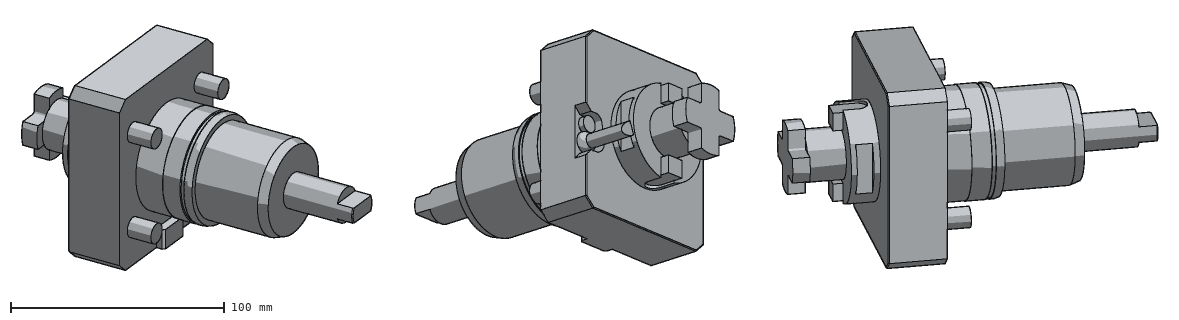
import cadquery as cq
import math


PLATE_THICKNESS = 28.3
PLATE_WIDTH = 84.0
PLATE_HEIGHT = 90.0
PLATE_CORNER_Y = 5.3
PLATE_CORNER_Z = 4.8
PLATE_EDGE_CHAMFER = 0.5
PLATE_FRONT = -PLATE_THICKNESS

BOLT_DIAMETER = 10.2
BOLT_LENGTH = 13.0
BOLT_SPACING_Y = 60.0
BOLT_SPACING_Z = 50.0
LOCATING_KEY_LENGTH = 4.4
LOCATING_KEY_WIDTH = 18.0
LOCATING_KEY_HEIGHT = 10.2
LOCATING_KEY_CHAMFER = 1.2

PILOT_RADIUS = 27.4
PILOT_STEP_X = 14.8
SEAL_RADIUS = 27.6
PILOT_END = 24.7
PILOT_CHAMFER = 0.3
GROOVE_RADIUS = 27.0
GROOVE_END = 26.5
LAND_END = 28.5
LAND_TAPER_END = 30.7
HOUSING_RADIUS = 24.25
HOUSING_END = 65.0
HOUSING_TAPER_END = 69.9
HOUSING_TAPER_RADIUS = 22.6

SHAFT_RADIUS = 8.95
SHAFT_END = 108.0
SHAFT_CHAMFER = 0.5
TANG_LENGTH = 9.0
TANG_THICKNESS = 8.0

COLLAR_FRONT = -42.3
COLLAR_RADIUS = HOUSING_RADIUS
SIDE_GROOVE_FRONT = -39.5
SIDE_GROOVE_REAR = -31.5
SIDE_GROOVE_HALF_WIDTH = 20.7

DRIVE_KEY_FRONT = -47.1
DRIVE_KEY_REAR = -29.7
DRIVE_KEY_WIDTH = 9.5
DRIVE_KEY_INNER = 13.6
DRIVE_KEY_OUTER = 22.6

NECK_RADIUS = 12.6
HEAD_FRONT = -69.0
HEAD_THICKNESS = 8.4
HEAD_RADIUS = 17.5
HEAD_ARM_WIDTH = 12.5
HEAD_INNER_FILLET = 1.2

NOZZLE_Y = 35.1
NOZZLE_Z = -10.0
NOZZLE_RADIUS = 3.5
NOZZLE_TIP = -50.8
NOZZLE_TIP_SLOPE = 45.0
NOZZLE_RIDGE_TILT = -22.0
NOZZLE_BALL_RADIUS = 5.4
NOZZLE_REAR_PROJECTION = 0.6
SCREW_Z = -1.2
SCREW_HEAD_RADIUS = 4.2
SCREW_HEAD_HEIGHT = 3.0
POCKET_DEPTH = 7.0
POCKET_NOZZLE_RADIUS = 6.1
POCKET_SCREW_RADIUS = 4.5
POCKET_FLARE = 3.6
POCKET_FLOOR = PLATE_FRONT + POCKET_DEPTH


def cylinder(x_start, x_end, radius, y=0.0, z=0.0):
    """Cylinder parallel to X."""
    return cq.Workplane("YZ", origin=(x_start, y, z)).circle(radius).extrude(x_end - x_start)


def block(x_start, x_end, width, height):
    """Box centred on the spindle axis, between two X positions."""
    return cq.Workplane("YZ", origin=(x_start, 0, 0)).rect(width, height).extrude(x_end - x_start)


def make_plate():
    half_y = PLATE_WIDTH / 2
    half_z = PLATE_HEIGHT / 2
    inner_y = half_y - PLATE_CORNER_Y
    inner_z = half_z - PLATE_CORNER_Z
    outline = [
        (half_y, inner_z), (inner_y, half_z), (-inner_y, half_z), (-half_y, inner_z),
        (-half_y, -inner_z), (-inner_y, -half_z), (inner_y, -half_z), (half_y, -inner_z),
    ]
    plate = (
        cq.Workplane("YZ", origin=(PLATE_FRONT, 0, 0))
        .polyline(outline).close().extrude(PLATE_THICKNESS)
    )
    return plate.faces("<X").chamfer(PLATE_EDGE_CHAMFER)


def make_pocket():
    """Keyhole-like recess around nozzle and screw, flaring out to the plate edge."""
    edge_y = PLATE_WIDTH / 2
    flare_y = edge_y - POCKET_FLARE
    top_z = SCREW_Z + POCKET_SCREW_RADIUS
    bottom_z = NOZZLE_Z - POCKET_NOZZLE_RADIUS
    tangent = math.asin((POCKET_NOZZLE_RADIUS - POCKET_SCREW_RADIUS) / (SCREW_Z - NOZZLE_Z))
    screw_mid = (math.pi / 2 + math.pi - tangent) / 2
    nozzle_mid = (math.pi - tangent + 3 * math.pi / 2) / 2

    def on_arc(centre_z, radius, angle):
        return (NOZZLE_Y + radius * math.cos(angle), centre_z + radius * math.sin(angle))

    def on_screw_arc(angle):
        return on_arc(SCREW_Z, POCKET_SCREW_RADIUS, angle)

    def on_nozzle_arc(angle):
        return on_arc(NOZZLE_Z, POCKET_NOZZLE_RADIUS, angle)

    return (
        cq.Workplane("YZ", origin=(PLATE_FRONT, 0, 0))
        .moveTo(edge_y, top_z + POCKET_FLARE)
        .lineTo(flare_y, top_z)
        .lineTo(NOZZLE_Y, top_z)
        .threePointArc(on_screw_arc(screw_mid), on_screw_arc(math.pi - tangent))
        .lineTo(*on_nozzle_arc(math.pi - tangent))
        .threePointArc(on_nozzle_arc(nozzle_mid), (NOZZLE_Y, bottom_z))
        .lineTo(flare_y, bottom_z)
        .lineTo(edge_y, bottom_z - POCKET_FLARE)
        .close()
        .extrude(POCKET_DEPTH)
    )


def make_nozzle():
    """Tube with a ball seat and a roof-shaped tip whose ridge is tilted from vertical."""
    tube = cylinder(NOZZLE_TIP, NOZZLE_REAR_PROJECTION, NOZZLE_RADIUS, NOZZLE_Y, NOZZLE_Z)
    roof_half_width = 2 * NOZZLE_RADIUS
    roof_height = roof_half_width * math.tan(math.radians(NOZZLE_TIP_SLOPE))
    roof = (
        cq.Workplane("XY", origin=(NOZZLE_TIP, 0, -roof_half_width))
        .moveTo(0, 0)
        .lineTo(roof_height, roof_half_width)
        .lineTo(NOZZLE_REAR_PROJECTION - NOZZLE_TIP, roof_half_width)
        .lineTo(NOZZLE_REAR_PROJECTION - NOZZLE_TIP, -roof_half_width)
        .lineTo(roof_height, -roof_half_width)
        .close()
        .extrude(2 * roof_half_width)
        .rotate((0, 0, 0), (1, 0, 0), NOZZLE_RIDGE_TILT)
        .translate((0, NOZZLE_Y, NOZZLE_Z))
    )
    ball = cq.Workplane("XY").sphere(NOZZLE_BALL_RADIUS).translate((POCKET_FLOOR, NOZZLE_Y, NOZZLE_Z))
    return tube.intersect(roof).union(ball)


def make_clamp_screw():
    return cylinder(POCKET_FLOOR - SCREW_HEAD_HEIGHT, POCKET_FLOOR, SCREW_HEAD_RADIUS, NOZZLE_Y, SCREW_Z)


def make_rear_body():
    profile = [
        (0, 0),
        (0, PILOT_RADIUS),
        (PILOT_STEP_X, PILOT_RADIUS),
        (PILOT_STEP_X, SEAL_RADIUS),
        (PILOT_END - PILOT_CHAMFER, SEAL_RADIUS),
        (PILOT_END, GROOVE_RADIUS),
        (GROOVE_END, GROOVE_RADIUS),
        (GROOVE_END, SEAL_RADIUS),
        (LAND_END, SEAL_RADIUS),
        (LAND_TAPER_END, GROOVE_RADIUS),
        (LAND_TAPER_END, HOUSING_RADIUS),
        (HOUSING_END, HOUSING_RADIUS),
        (HOUSING_TAPER_END, HOUSING_TAPER_RADIUS),
        (HOUSING_TAPER_END, 0),
    ]
    return cq.Workplane("XY").polyline(profile).close().revolve(360, (0, 0, 0), (1, 0, 0))


def make_shaft():
    tang_start = SHAFT_END - TANG_LENGTH
    shaft = cylinder(HOUSING_TAPER_END, SHAFT_END, SHAFT_RADIUS).faces(">X").chamfer(SHAFT_CHAMFER)
    removed = block(tang_start, SHAFT_END, 2 * SHAFT_RADIUS, 2 * SHAFT_RADIUS)
    tang = block(tang_start, SHAFT_END, 2 * SHAFT_RADIUS, TANG_THICKNESS)
    return shaft.cut(removed.cut(tang))


def make_bolts():
    return (
        cq.Workplane("YZ")
        .rect(BOLT_SPACING_Y, BOLT_SPACING_Z, forConstruction=True)
        .vertices()
        .circle(BOLT_DIAMETER / 2)
        .extrude(BOLT_LENGTH)
    )


def make_locating_key():
    key_z = (LOCATING_KEY_HEIGHT - PLATE_HEIGHT) / 2
    key = block(0, LOCATING_KEY_LENGTH, LOCATING_KEY_WIDTH, LOCATING_KEY_HEIGHT)
    key = key.faces(">X").edges("|Z").chamfer(LOCATING_KEY_CHAMFER)
    return key.translate((0, 0, key_z))


def drive_key_shape(z_start, z_end):
    """Key outline, square in front and round at the rear, between two heights."""
    half = DRIVE_KEY_WIDTH / 2
    straight_end = DRIVE_KEY_REAR - half
    return (
        cq.Workplane("XY", origin=(0, 0, z_start))
        .moveTo(DRIVE_KEY_FRONT, -half)
        .lineTo(straight_end, -half)
        .threePointArc((DRIVE_KEY_REAR, 0), (straight_end, half))
        .lineTo(DRIVE_KEY_FRONT, half)
        .close()
        .extrude(z_end - z_start)
    )


def make_collar():
    collar = cylinder(COLLAR_FRONT, PLATE_FRONT, COLLAR_RADIUS)
    ring = block(SIDE_GROOVE_FRONT, SIDE_GROOVE_REAR, 2 * COLLAR_RADIUS, 2 * COLLAR_RADIUS)
    core = block(SIDE_GROOVE_FRONT, SIDE_GROOVE_REAR, 2 * SIDE_GROOVE_HALF_WIDTH, 2 * COLLAR_RADIUS)
    collar = collar.cut(ring.cut(core))
    for side in (1, -1):
        collar = collar.cut(drive_key_shape(side * DRIVE_KEY_OUTER, side * COLLAR_RADIUS))
        collar = collar.union(drive_key_shape(side * DRIVE_KEY_INNER, side * DRIVE_KEY_OUTER))
    return collar


def make_head():
    head_rear = HEAD_FRONT + HEAD_THICKNESS
    span = 2 * HEAD_RADIUS
    arm_half = HEAD_ARM_WIDTH / 2
    cross = block(HEAD_FRONT, head_rear, span, HEAD_ARM_WIDTH)
    cross = cross.union(block(HEAD_FRONT, head_rear, HEAD_ARM_WIDTH, span))
    inner_corners = cq.selectors.BoxSelector(
        (HEAD_FRONT, -2 * arm_half, -2 * arm_half), (head_rear, 2 * arm_half, 2 * arm_half)
    )
    cross = cross.edges("|X").edges(inner_corners).fillet(HEAD_INNER_FILLET)
    cross = cross.intersect(cylinder(HEAD_FRONT, head_rear, HEAD_RADIUS))
    return cross.union(cylinder(head_rear, COLLAR_FRONT, NECK_RADIUS))


result = make_plate().cut(make_pocket())
for feature in (
    make_rear_body(), make_shaft(), make_bolts(), make_locating_key(),
    make_collar(), make_head(), make_clamp_screw(), make_nozzle(),
):
    result = result.union(feature)